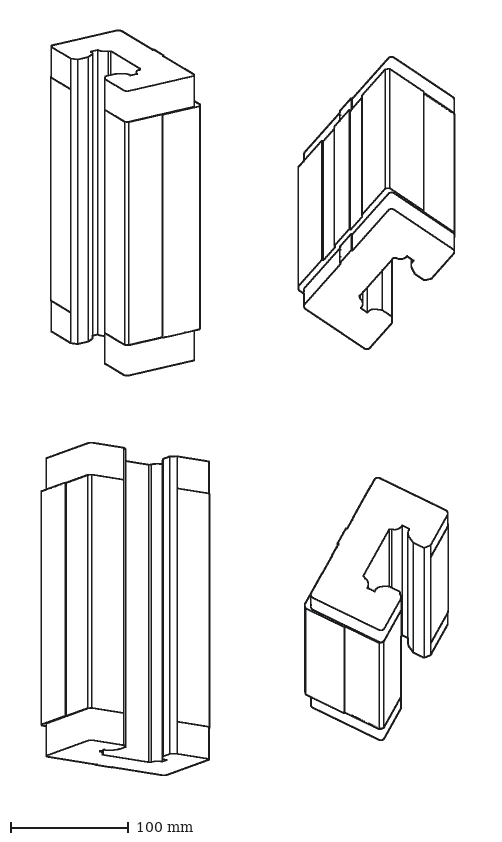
import cadquery as cq

total_length = 260.0
cap_length = 28.0
block_width = 126.0
block_height = 75.0

side_step = 0.8
side_step_start = 35.5
side_step_end = 35.9
edge_chamfer = 2.5
relief_depth = 1.3
relief_outer_x = 27.8
relief_inner_x = 10.5
relief_slope = 0.8

cap_width = 122.7
cap_bottom = 0.13
cap_top = 70.0
cap_corner_radius = 3.5
cap_pad_half_width = 7.8
cap_pad_height = 1.0

channel_top = 38.0
channel_top_x = 23.7
upper_lip_x = 25.0
upper_lip_y = 36.0
groove_x = 32.0
groove_top = 30.0
groove_bottom = 23.0
lower_lip_x = 25.5
lower_lip_y = 20.0
throat_x = 22.4
throat_top = 14.3
mouth_x = 27.3
mouth_height = 4.0
upper_lip_bulge = 1.8
lower_lip_bulge = 1.0

block_length = total_length - 2 * cap_length


def mirrored_prism(half_outline, length):
    """Extrude a closed outline on the +X side and its mirror image as one solid."""
    half = half_outline.close().extrude(length)
    return half.union(half.mirror("YZ")).clean()


def make_block():
    upper_x = block_width / 2
    lower_x = upper_x - side_step
    relief_y = block_height - relief_depth
    outline = (
        cq.Workplane("XY", origin=(0, 0, cap_length))
        .lineTo(lower_x - edge_chamfer, 0)
        .lineTo(lower_x, edge_chamfer)
        .lineTo(lower_x, side_step_start)
        .lineTo(upper_x, side_step_end)
        .lineTo(upper_x, block_height - edge_chamfer)
        .lineTo(upper_x - edge_chamfer, block_height)
        .lineTo(relief_outer_x, block_height)
        .lineTo(relief_outer_x - relief_slope, relief_y)
        .lineTo(relief_inner_x, relief_y)
        .lineTo(relief_inner_x, block_height)
        .lineTo(0, block_height)
    )
    return mirrored_prism(outline, block_length)


def make_cap(start_z):
    base = cq.Workplane("XY", origin=(0, 0, start_z))
    cap_height = cap_top - cap_bottom
    body = (
        base.center(0, cap_bottom + cap_height / 2)
        .rect(cap_width, cap_height)
        .extrude(cap_length)
        .edges("|Z")
        .fillet(cap_corner_radius)
    )
    pad_overlap = cap_corner_radius
    pad = (
        base.center(0, cap_top + (cap_pad_height - pad_overlap) / 2)
        .rect(2 * cap_pad_half_width, cap_pad_height + pad_overlap)
        .extrude(cap_length)
    )
    return body.union(pad)


def make_channel():
    outline = (
        cq.Workplane("XY")
        .lineTo(0, channel_top)
        .lineTo(channel_top_x, channel_top)
        .lineTo(upper_lip_x, upper_lip_y)
        .sagittaArc((groove_x, groove_top), -upper_lip_bulge)
        .lineTo(groove_x, groove_bottom)
        .sagittaArc((lower_lip_x, lower_lip_y), -lower_lip_bulge)
        .lineTo(throat_x, throat_top)
        .lineTo(throat_x, mouth_height)
        .lineTo(mouth_x, 0)
    )
    return mirrored_prism(outline, total_length)


result = (
    make_block()
    .union(make_cap(0))
    .union(make_cap(total_length - cap_length))
    .cut(make_channel())
)